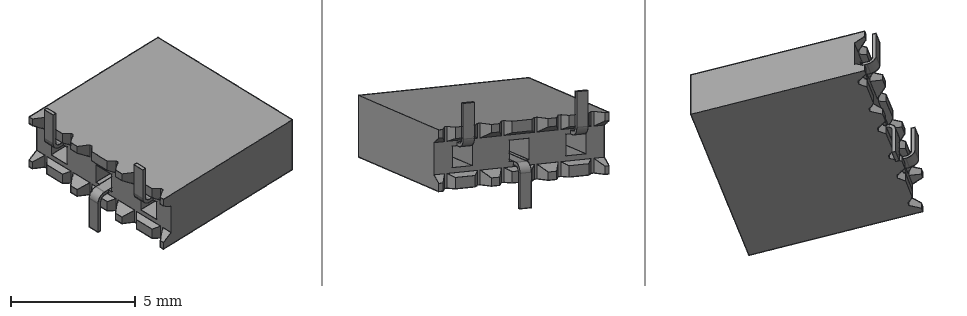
import cadquery as cq

WIDTH = 7.62
LENGTH = 7.49
CONTACT_SPAN = 4.57

CONTACT_COUNT = 3
PITCH = WIDTH / CONTACT_COUNT
THICKNESS = PITCH
HOLE_SIZE = 0.885

CONTACT_WIDTH = 0.5
CONTACT_THICKNESS = 0.15
BEND_RADIUS = 0.38

TOOTH_BASE_HEIGHT = 0.61
END_FACE_DEPTH = 0.59
TALL_BASE_WIDTH = 0.945
TALL_TIP_WIDTH = 0.37
TALL_TIP_HEIGHT = 0.34
SHORT_BASE_WIDTH = 1.36
SHORT_TIP_WIDTH = 0.89
SHORT_TIP_HEIGHT = 0.47
SHORT_LENGTH = 0.26

FRONT_Y = -LENGTH / 2
BACK_Y = LENGTH / 2
END_FACE_Y = FRONT_Y + END_FACE_DEPTH
TALL_LENGTH = END_FACE_DEPTH - CONTACT_THICKNESS

tooth_row_start = -WIDTH / 2
tall_tooth_places = [tooth_row_start + i * PITCH for i in range(CONTACT_COUNT + 1)]
contact_places = [tooth_row_start + (i + 0.5) * PITCH for i in range(CONTACT_COUNT)]
middle_contact_place = contact_places[CONTACT_COUNT // 2]
fixed_contact_places = [x for x in contact_places if x != middle_contact_place]


def box_between(x_size, y_min, y_max, z_min, z_max):
    """Box centred on X = 0 that spans the given Y and Z ranges."""
    return cq.Workplane("XY").box(x_size, y_max - y_min, z_max - z_min).translate(
        (0, (y_min + y_max) / 2, (z_min + z_max) / 2)
    )


def make_tooth(base_width, tip_width, tip_height, length):
    """Tooth on the upper edge: flat on top, tapering on both sides and underneath."""
    top = THICKNESS / 2

    def section(width, height):
        return [
            (-width / 2, top),
            (width / 2, top),
            (width / 2, top - height),
            (-width / 2, top - height),
        ]

    return (
        cq.Workplane("XZ", origin=(0, END_FACE_Y, 0))
        .polyline(section(base_width, TOOTH_BASE_HEIGHT))
        .close()
        .workplane(offset=length)
        .polyline(section(tip_width, tip_height))
        .close()
        .loft(ruled=True)
    )


def make_contact_shape():
    """Strip along the top of a hole that bends up, out of the soldering face, into a solder tail."""
    inner = HOLE_SIZE / 2
    outer = inner + CONTACT_THICKNESS
    tail_back = FRONT_Y + CONTACT_THICKNESS
    inside_radius = BEND_RADIUS - CONTACT_THICKNESS
    return (
        cq.Workplane("YZ", origin=(-CONTACT_WIDTH / 2, 0, 0))
        .moveTo(BACK_Y, inner)
        .lineTo(FRONT_Y + BEND_RADIUS, inner)
        .radiusArc((FRONT_Y, inner + BEND_RADIUS), BEND_RADIUS)
        .lineTo(FRONT_Y, CONTACT_SPAN / 2)
        .lineTo(tail_back, CONTACT_SPAN / 2)
        .lineTo(tail_back, outer + inside_radius)
        .radiusArc((tail_back + inside_radius, outer), -inside_radius)
        .lineTo(BACK_Y, outer)
        .close()
        .extrude(CONTACT_WIDTH)
    )


def make_upper_contact(x):
    return make_contact_shape().translate((x, 0, 0))


def make_lower_contact(x):
    return make_contact_shape().mirror("XY").translate((x, 0, 0))


def add_teeth(block):
    """Add both rows of teeth; the tall teeth at the two ends are cut off at the housing sides."""
    envelope = box_between(WIDTH, FRONT_Y, BACK_Y, -THICKNESS / 2, THICKNESS / 2)
    tall = make_tooth(TALL_BASE_WIDTH, TALL_TIP_WIDTH, TALL_TIP_HEIGHT, TALL_LENGTH)
    short = make_tooth(SHORT_BASE_WIDTH, SHORT_TIP_WIDTH, SHORT_TIP_HEIGHT, SHORT_LENGTH)
    for tooth, places in ((tall, tall_tooth_places), (short, contact_places)):
        for x in places:
            upper = tooth.translate((x, 0, 0)).intersect(envelope)
            block = block.union(upper).union(upper.mirror("XY"))
    return block


def make_housing(loose_contact):
    """Toothed block with a through hole per contact, fixed upper contacts and a slot for the loose one."""
    housing = box_between(WIDTH, END_FACE_Y, BACK_Y, -THICKNESS / 2, THICKNESS / 2)
    housing = add_teeth(housing)
    hole = box_between(HOLE_SIZE, END_FACE_Y, BACK_Y, -HOLE_SIZE / 2, HOLE_SIZE / 2)
    for x in contact_places:
        housing = housing.cut(hole.translate((x, 0, 0)))
    for x in fixed_contact_places:
        housing = housing.union(make_upper_contact(x))
    return housing.cut(loose_contact).solids()


lower_contact = make_lower_contact(middle_contact_place)
housing = make_housing(lower_contact)
result = cq.Compound.makeCompound([housing.val(), lower_contact.val()])